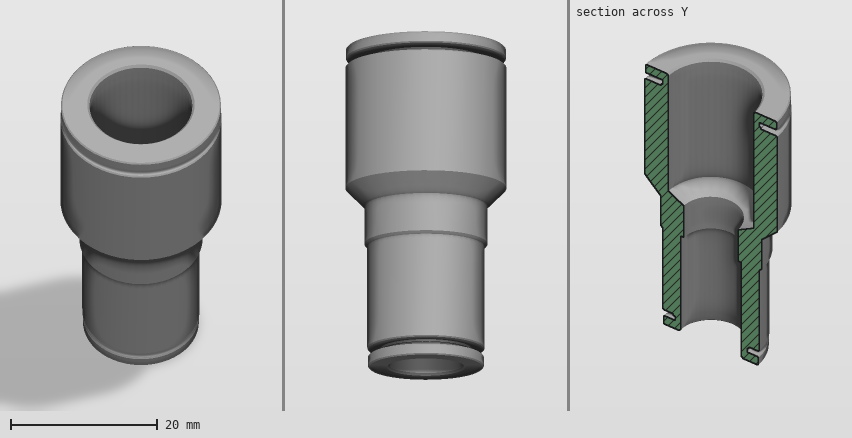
import cadquery as cq
import math

total_length = 44.5

large_collar_diameter = 21.8
large_neck_diameter = 16.0
large_step_diameter = 16.6
body_diameter = 22.0

waist_diameter = 16.8
tail_diameter = 16.0
small_step_diameter = 12.6
small_neck_diameter = 12.0
small_collar_diameter = 15.8

large_bore_diameter = 14.0
middle_bore_diameter = 9.0
small_bore_diameter = 10.0

collar_thickness = 1.55
tail_bottom = 2.5
waist_bottom = 16.8
shoulder_bottom = 22.45
body_top = 41.95
step_height = 0.3
small_bore_depth = 16.8

edge_chamfer = 0.2
mouth_chamfer = 0.3
funnel_slope = 30.0

shoulder_top = shoulder_bottom + (body_diameter - waist_diameter) / 2
funnel_bottom = shoulder_bottom
funnel_width = (large_bore_diameter - middle_bore_diameter) / 2
funnel_top = funnel_bottom + funnel_width * math.tan(math.radians(funnel_slope))


def cylinder(diameter, bottom, top):
    return cq.Workplane("XY").workplane(offset=bottom).circle(diameter / 2).extrude(top - bottom)


def cone(bottom_diameter, top_diameter, bottom, top):
    """Frustum on the Z axis."""
    profile = [(0, bottom), (bottom_diameter / 2, bottom), (top_diameter / 2, top), (0, top)]
    return cq.Workplane("XZ").polyline(profile).close().revolve(360, (0, 0), (0, 1))


def make_outside():
    waist_chamfer = (waist_diameter - tail_diameter) / 2
    large_collar_bottom = total_length - collar_thickness
    sections = [
        cylinder(small_collar_diameter, 0, collar_thickness).edges().chamfer(edge_chamfer),
        cylinder(small_neck_diameter, collar_thickness, tail_bottom - step_height),
        cylinder(small_step_diameter, tail_bottom - step_height, tail_bottom),
        cylinder(tail_diameter, tail_bottom, waist_bottom).faces("<Z").edges().chamfer(edge_chamfer),
        cone(tail_diameter, waist_diameter, waist_bottom, waist_bottom + waist_chamfer),
        cylinder(waist_diameter, waist_bottom + waist_chamfer, shoulder_bottom),
        cone(waist_diameter, body_diameter, shoulder_bottom, shoulder_top),
        cylinder(body_diameter, shoulder_top, body_top).faces(">Z").edges().chamfer(edge_chamfer),
        cylinder(large_step_diameter, body_top, body_top + step_height),
        cylinder(large_neck_diameter, body_top + step_height, large_collar_bottom),
        cylinder(large_collar_diameter, large_collar_bottom, total_length).edges().chamfer(edge_chamfer),
    ]
    outside = sections[0]
    for section in sections[1:]:
        outside = outside.union(section)
    return outside


def make_bore():
    large_mouth_diameter = large_bore_diameter + 2 * mouth_chamfer
    small_mouth_diameter = small_bore_diameter + 2 * mouth_chamfer
    return (
        cylinder(middle_bore_diameter, 0, total_length)
        .union(cylinder(small_bore_diameter, 0, small_bore_depth))
        .union(cone(small_mouth_diameter, small_bore_diameter, 0, mouth_chamfer))
        .union(cone(middle_bore_diameter, large_bore_diameter, funnel_bottom, funnel_top))
        .union(cylinder(large_bore_diameter, funnel_top, total_length))
        .union(cone(large_bore_diameter, large_mouth_diameter, total_length - mouth_chamfer, total_length))
    )


result = make_outside().cut(make_bore())